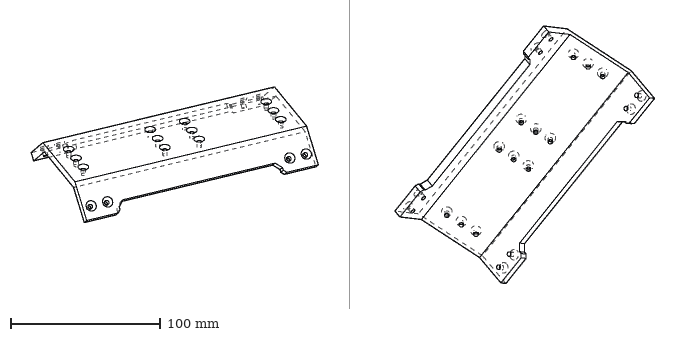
import cadquery as cq
import math

length = 170.0
width = 92.0
height = 23.6
thickness = 6.0

bend_angle = 45.0
bend = math.radians(bend_angle)
flange_drop = height - thickness * math.cos(bend)
flange_run = flange_drop / math.tan(bend)
top_half_width = width / 2 - flange_run
inner_half_width = top_half_width - thickness * math.tan(bend / 2)

hole_diameter = 3.0
sink_diameter = 7.1
sink_angle = 90.0
hole_pitch = 12.0
inner_row_y = 12.5
outer_row_y = 72.5
flange_hole_to_end = 6.1
flange_hole_to_edge = 9.0

relief_depth = 8.0
tab_length = 25.2
tab_chamfer = 2.0
relief_chamfer = 4.0
cut_margin = 1.7


def bent_plate():
    """Plate folded symmetrically about the YZ plane, with its top face at Z = 0."""
    tip_x = width / 2 - thickness * math.sin(bend)
    half_outline = [
        (top_half_width, 0),
        (width / 2, -flange_drop),
        (tip_x, -height),
        (inner_half_width, -thickness),
    ]
    mirrored = [(-x, z) for x, z in reversed(half_outline)]
    profile = cq.Workplane("XZ").polyline(half_outline + mirrored).close()
    return profile.extrude(length / 2, both=True)


def flange_plane(side):
    """Outer face of a flange: origin mid-length on its free edge, local Y up the slope."""
    normal = (side * math.sin(bend), 0, math.cos(bend))
    return cq.Plane(
        origin=(side * width / 2, 0, -flange_drop),
        xDir=(0, side, 0),
        normal=normal,
    )


def relief_cutter(side):
    """Relief with bevelled inner corners and bevelled tab corners at its mouth."""
    half_mouth = length / 2 - tab_length
    flare = half_mouth + tab_chamfer
    half_floor = half_mouth - relief_chamfer
    half_outline = [
        (flare, -cut_margin),
        (flare, 0),
        (half_mouth, tab_chamfer),
        (half_mouth, relief_depth - relief_chamfer),
        (half_floor, relief_depth),
    ]
    mirrored = [(-y, rise) for y, rise in reversed(half_outline)]
    outline = cq.Workplane(flange_plane(side)).polyline(half_outline + mirrored).close()
    return outline.extrude(thickness + cut_margin, both=True)


def countersink(body, plane, points):
    """Drill countersunk through holes from the given face."""
    return (
        body.copyWorkplane(cq.Workplane(plane))
        .pushPoints(points)
        .cskHole(hole_diameter, sink_diameter, sink_angle, depth=thickness + cut_margin)
    )


result = bent_plate()

for side in (-1, 1):
    result = result.cut(relief_cutter(side))

top_points = [
    (column * hole_pitch, row_y)
    for column in (-1, 0, 1)
    for row_y in (-outer_row_y, -inner_row_y, inner_row_y, outer_row_y)
]
result = countersink(result, cq.Plane.XY(), top_points)

end_hole = length / 2 - flange_hole_to_end
flange_points = [
    (end * (end_hole - index * hole_pitch), flange_hole_to_edge)
    for end in (-1, 1)
    for index in (0, 1)
]
for side in (-1, 1):
    result = countersink(result, flange_plane(side), flange_points)